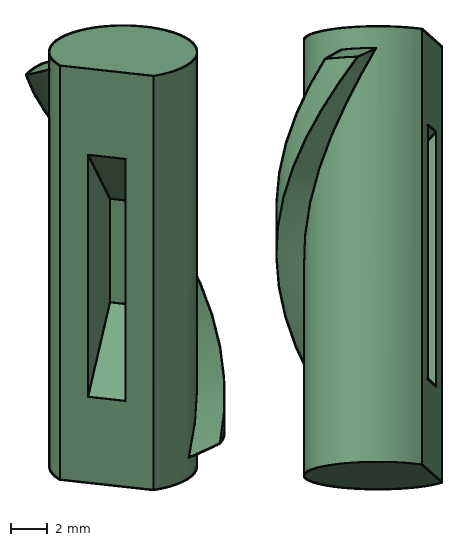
import cadquery as cq
import math

LENGTH = 24.0
CORE_RADIUS = 4.0
FLAT_OFFSET = 3.0

RIB_RADIUS = 5.5
RIB_LEAD = 45.0
RIB_TIP_HALF_WIDTH = 1.25
RIB_ROOT_HALF_WIDTH = 1.75
RIB_EMBED = 0.48
RIB_SWEEP_ANGLE = 240.0
RIB_ROOT_END_Z = 10.8
RIB_TIP_END_Z = 10.05

SLOT_WIDTH = 2.1
SLOT_LENGTH = 14.02
SLOT_DEPTH = 4.0


def make_core():
    half_length = LENGTH / 2
    half_flat = math.sqrt(CORE_RADIUS**2 - FLAT_OFFSET**2)
    return (
        cq.Workplane("XY")
        .workplane(offset=-half_length)
        .moveTo(-half_flat, -FLAT_OFFSET)
        .threePointArc((0, CORE_RADIUS), (half_flat, -FLAT_OFFSET))
        .close()
        .extrude(LENGTH)
    )


def extend_from_root(radius, root_value, tip_value):
    """Straight line through the root and tip values, continued below the root."""
    slope = (tip_value - root_value) / (RIB_RADIUS - CORE_RADIUS)
    return root_value + slope * (radius - CORE_RADIUS)


def make_long_rib():
    height = RIB_LEAD * RIB_SWEEP_ANGLE / 360
    inner_radius = CORE_RADIUS - RIB_EMBED
    inner_half_width = extend_from_root(inner_radius, RIB_ROOT_HALF_WIDTH, RIB_TIP_HALF_WIDTH)
    path = cq.Wire.makeHelix(RIB_LEAD, height, CORE_RADIUS)
    rib = (
        cq.Workplane("XZ")
        .polyline([
            (inner_radius, -inner_half_width),
            (RIB_RADIUS, -RIB_TIP_HALF_WIDTH),
            (RIB_RADIUS, RIB_TIP_HALF_WIDTH),
            (inner_radius, inner_half_width),
        ])
        .close()
        .sweep(cq.Workplane(path), isFrenet=True)
    )
    start_angle = 90 - RIB_SWEEP_ANGLE / 2
    return rib.rotate((0, 0, 0), (0, 0, 1), start_angle).translate((0, 0, -height / 2))


def make_rib_limits():
    """Ring with conical ends that leaves the rib its two end faces."""
    inner_radius = CORE_RADIUS - RIB_EMBED
    outer_radius = RIB_RADIUS + RIB_EMBED
    inner_z = extend_from_root(inner_radius, RIB_ROOT_END_Z, RIB_TIP_END_Z)
    outer_z = extend_from_root(outer_radius, RIB_ROOT_END_Z, RIB_TIP_END_Z)
    return (
        cq.Workplane("XZ")
        .polyline([
            (inner_radius, -inner_z),
            (outer_radius, -outer_z),
            (outer_radius, outer_z),
            (inner_radius, inner_z),
        ])
        .close()
        .revolve(360, (0, 0, 0), (0, 1, 0))
    )


def make_slot():
    floor_y = SLOT_DEPTH - FLAT_OFFSET
    mouth_half = SLOT_LENGTH / 2
    floor_half = mouth_half - SLOT_DEPTH
    return (
        cq.Workplane("YZ")
        .polyline([
            (-FLAT_OFFSET, -mouth_half),
            (floor_y, -floor_half),
            (floor_y, floor_half),
            (-FLAT_OFFSET, mouth_half),
        ])
        .close()
        .extrude(SLOT_WIDTH / 2, both=True)
    )


rib = make_long_rib().intersect(make_rib_limits())
result = make_core().union(rib).cut(make_slot())